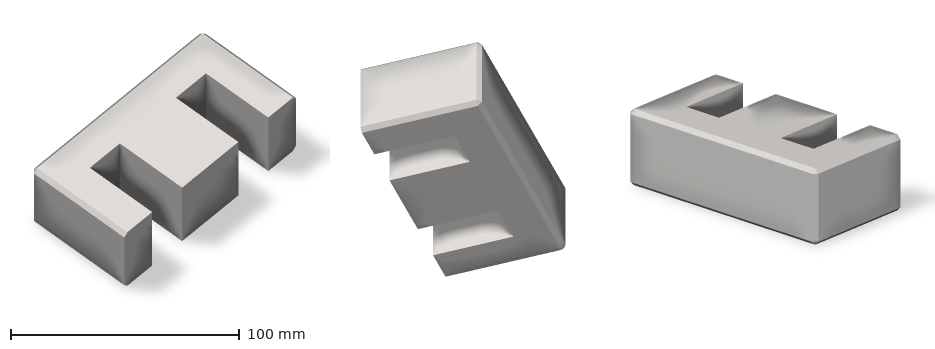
import cadquery as cq

length = 110.0
depth = 56.0
height = 36.0
center_leg_width = 36.0
window_span = 74.4
window_depth = 37.3
chamfer = 2.0

window_width = (window_span - center_leg_width) / 2
window_center_y = (window_span + center_leg_width) / 4
window_center_x = (depth - window_depth) / 2


def chamfered_block():
    """Block with every edge of its back and outer sides chamfered; the leg ends stay sharp."""
    block = cq.Workplane("XY").box(depth, length, height)
    return block.edges("not(>X)").chamfer(chamfer)


def window(center_y):
    """Through-height window between the center leg and one outer leg, open at the leg ends."""
    cutter = cq.Workplane("XY").box(window_depth, window_width, height)
    return cutter.translate((window_center_x, center_y, 0))


result = chamfered_block()
for side in (-1, 1):
    result = result.cut(window(side * window_center_y))